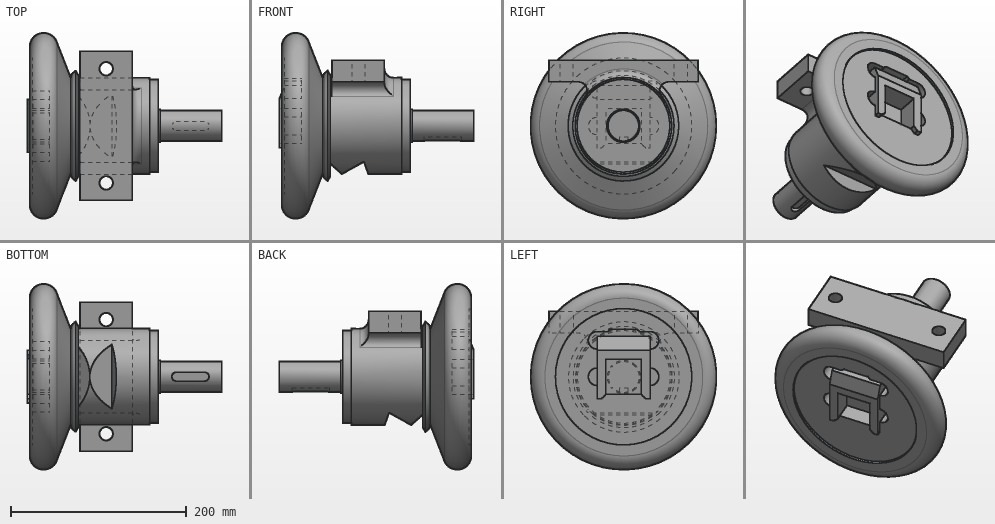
import cadquery as cq
import math

wheel_face = 2.9
recess_depth = 3.0
cone_end = 50.0
flinger_tip = 55.3
body_start = 58.4
block_start = 60.2
body_end = 139.6
cover_end = 149.6
collar_end = 151.8
shaft_end = 222.0

wheel_diameter = 212.0
rim_tube_radius = 16.0
cone_small_radius = 54.5
recess_radius = 77.7

flinger_front_radius = 58.2
flinger_rear_radius = 57.7
flinger_tip_radius = 63.0
flinger_round = 4.5
body_radius = 55.0
cover_radius = 52.8
collar_radius = 18.9
shaft_radius = 17.5

block_length = 60.0
block_width = 170.0
block_bottom = 50.0
block_top = 74.8
hole_diameter = 15.0
hole_spacing = 130.0
fillet_radius = 10.0

plate_half_width = 30.2
plate_top = 46.5
foot_chamfer = 4.9
bevel_height = 16.2
bevel_depth = 6.5
window_size = 40.5
window_depth = 25.0
slot_width = 20.0
slot_length = 80.4
upper_slot_z = 41.5
relief_height = 2.9
relief_half_width = 18.0

ridge_x = 71.5
front_notch_rise = 11.8
rear_notch_x = 96.5
rear_notch_rise = 14.0
rear_notch_end = 101.7
notch_clearance = 2.2

keyway_start = 165.0
keyway_length = 42.5
keyway_width = 10.0
keyway_depth = 4.9

recess_floor = wheel_face + recess_depth
block_end = block_start + block_length
block_middle = block_start + block_length / 2
half_window = window_size / 2
plate_bottom = -half_window - foot_chamfer


def cylinder(start, end, radius):
    """Round bar along X."""
    return cq.Workplane("YZ").workplane(offset=start).circle(radius).extrude(end - start)


def revolved(outline):
    """Turn an outline drawn as (x, radius) about the X axis."""
    return outline.close().revolve(360, (0, 0, 0), (1, 0, 0))


def wheel():
    rim_x = wheel_face + rim_tube_radius
    rim_radius = wheel_diameter / 2 - rim_tube_radius

    along = cone_end - rim_x
    inward = rim_radius - cone_small_radius
    angle = math.acos(rim_tube_radius / math.hypot(along, inward)) - math.atan2(inward, along)
    cone_top = (rim_x + rim_tube_radius * math.cos(angle), rim_radius + rim_tube_radius * math.sin(angle))
    outline = (
        cq.Workplane("XY")
        .moveTo(recess_floor, 0)
        .lineTo(recess_floor, recess_radius)
        .lineTo(wheel_face, recess_radius)
        .lineTo(wheel_face, rim_radius)
        .threePointArc((rim_x, wheel_diameter / 2), cone_top)
        .lineTo(cone_end, cone_small_radius)
        .lineTo(cone_end, 0)
    )
    return revolved(outline)


def flinger():
    """Sharp-rimmed ring between the wheel and the body, rounded at its front corner."""
    outline = cq.Workplane("XY").polyline([
        (cone_end, 0),
        (cone_end, flinger_front_radius),
        (flinger_tip, flinger_tip_radius),
        (body_start, flinger_rear_radius),
        (body_start, 0),
    ])
    return revolved(outline).edges("<X").fillet(flinger_round)


def bottom_notches():
    """Two V notches across the body that meet in a ridge at its lowest line."""
    outline = [
        (body_start, -body_radius + front_notch_rise),
        (ridge_x, -body_radius),
        (rear_notch_x, -body_radius + rear_notch_rise),
        (rear_notch_end, -body_radius),
        (rear_notch_end, -body_radius - notch_clearance),
        (body_start, -body_radius - notch_clearance),
    ]
    return cq.Workplane("XZ").polyline(outline).close().extrude(body_radius, both=True)


def mounting_block():
    block = (
        cq.Workplane("XY")
        .workplane(offset=block_bottom)
        .center(block_middle, 0)
        .rect(block_length, block_width)
        .extrude(block_top - block_bottom)
    )
    holes = (
        cq.Workplane("XY")
        .workplane(offset=block_bottom)
        .pushPoints([(block_middle, side * hole_spacing / 2) for side in (-1, 1)])
        .circle(hole_diameter / 2)
        .extrude(block_top - block_bottom)
    )
    return block.cut(holes)


def block_fillets():
    """Concave fillets joining the body to the underside and rear face of the block, mitred together."""
    centre_radius = body_radius + fillet_radius
    centre_z = block_bottom - fillet_radius
    centre_y = math.sqrt(centre_radius ** 2 - centre_z ** 2)
    touch_y = centre_y * body_radius / centre_radius
    touch_z = centre_z * body_radius / centre_radius

    toward_axis = math.atan2(-centre_z, -centre_y) + 2 * math.pi
    middle = (toward_axis + math.pi / 2) / 2
    middle_y = centre_y + fillet_radius * math.cos(middle)
    middle_z = centre_z + fillet_radius * math.sin(middle)

    fillet_end = block_end + fillet_radius
    saddle = (
        cq.Workplane("YZ")
        .workplane(offset=block_start)
        .moveTo(0, 0)
        .lineTo(touch_y, touch_z)
        .threePointArc((middle_y, middle_z), (centre_y, block_bottom))
        .lineTo(centre_y, centre_radius)
        .lineTo(-centre_y, centre_radius)
        .lineTo(-centre_y, block_bottom)
        .threePointArc((-middle_y, middle_z), (-touch_y, touch_z))
        .close()
        .extrude(fillet_end - block_start)
    )
    arc_offset = fillet_radius * math.sqrt(0.5)
    flare = revolved(
        cq.Workplane("XY")
        .moveTo(block_end, 0)
        .lineTo(block_end, centre_radius)
        .threePointArc((fillet_end - arc_offset, centre_radius - arc_offset), (fillet_end, body_radius))
        .lineTo(fillet_end, 0)
    )
    under_block = cq.Workplane("XY").box(
        block_length, 2 * centre_y, block_bottom, centered=(False, True, False)
    ).translate((block_start, 0, 0))
    return saddle.intersect(under_block.union(flare))


def face_slots():
    """Two rounded slots sunk in the wheel face, the upper one with a shallow relief on top."""
    depth = window_depth - recess_floor
    slots = (
        cq.Workplane("YZ")
        .workplane(offset=recess_floor)
        .pushPoints([(0, 0), (0, upper_slot_z)])
        .slot2D(slot_length, slot_width)
        .extrude(depth)
    )
    slot_top = upper_slot_z + slot_width / 2
    relief = (
        cq.Workplane("YZ")
        .workplane(offset=recess_floor)
        .polyline([
            (-relief_half_width, slot_top),
            (-relief_half_width + relief_height, slot_top + relief_height),
            (relief_half_width - relief_height, slot_top + relief_height),
            (relief_half_width, slot_top),
            (relief_half_width, upper_slot_z),
            (-relief_half_width, upper_slot_z),
        ])
        .close()
        .extrude(depth)
    )
    return slots.union(relief)


def window_plate():
    """Plate with a bevelled top edge, rooted at the bottom of the slots."""
    return (
        cq.Workplane("XZ")
        .polyline([
            (0, plate_bottom),
            (0, plate_top - bevel_height),
            (bevel_depth, plate_top),
            (window_depth, plate_top),
            (window_depth, plate_bottom),
        ])
        .close()
        .extrude(plate_half_width, both=True)
    )


def window():
    """Square blind opening through the plate into the wheel."""
    return cq.Workplane("YZ").rect(window_size, window_size).extrude(window_depth)


def foot_gap():
    """Flared gap that opens the lower edge of the plate down to the wheel face."""
    return (
        cq.Workplane("YZ")
        .polyline([
            (-half_window, -half_window),
            (half_window, -half_window),
            (half_window + foot_chamfer, plate_bottom),
            (-half_window - foot_chamfer, plate_bottom),
        ])
        .close()
        .extrude(recess_floor)
    )


def keyway():
    return (
        cq.Workplane("XY")
        .workplane(offset=-shaft_radius)
        .center(keyway_start + keyway_length / 2, 0)
        .slot2D(keyway_length, keyway_width)
        .extrude(keyway_depth)
    )


wheel_with_plate = wheel().cut(face_slots()).union(window_plate()).cut(window()).cut(foot_gap())

body = cylinder(body_start, body_end, body_radius).cut(bottom_notches())
cover = cylinder(body_end, cover_end, cover_radius)
collar = cylinder(cover_end, collar_end, collar_radius)
shaft = cylinder(collar_end, shaft_end, shaft_radius).cut(keyway())

result = wheel_with_plate.union(flinger()).union(body).union(mounting_block()).union(block_fillets())
result = result.union(cover).union(collar).union(shaft)